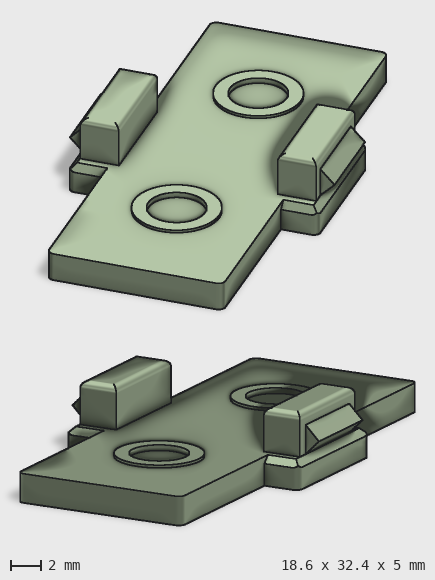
import cadquery as cq

plate_length = 32.4
plate_width = 12.38
plate_thickness = 2.0
edge_size = 0.5

wing_span = 17.6
wing_length = 9.65

total_height = 5.0
total_width = 18.6
block_span = 16.6
block_width = 2.72
block_length = 7.55
ridge_length = 6.0
ridge_reach = (total_width - block_span) / 2

ring_diameter = 6.0
recess_diameter = 4.0
ring_height = 0.2
recess_depth = 0.4
ring_offset = 8.0


def rounded_slab(width, length):
    slab = cq.Workplane("XY").box(width, length, plate_thickness, centered=(True, True, False))
    return slab.edges("|Z").fillet(edge_size)


def make_wings():
    beveled = cq.Workplane("XY").box(wing_span, wing_length, plate_thickness, centered=(True, True, False))
    beveled = beveled.faces(">Z").edges().chamfer(edge_size)
    return beveled.intersect(rounded_slab(wing_span, wing_length))


def make_snap_block():
    """Block at the +X side, with a 45 degree ridge starting at the plate's top."""
    outer_x = block_span / 2
    block = (
        cq.Workplane("XY")
        .box(block_width, block_length, total_height, centered=(True, True, False))
        .faces(">Z").edges().fillet(edge_size)
        .translate((outer_x - block_width / 2, 0, 0))
    )
    inner_x = outer_x - ridge_reach
    ridge_top = plate_thickness + 2 * ridge_reach
    ridge = (
        cq.Workplane("XZ")
        .moveTo(inner_x, plate_thickness)
        .lineTo(outer_x, plate_thickness)
        .lineTo(outer_x + ridge_reach, plate_thickness + ridge_reach)
        .lineTo(outer_x, ridge_top)
        .lineTo(inner_x, ridge_top)
        .close()
        .extrude(ridge_length / 2, both=True)
    )
    return block.union(ridge)


def add_ring(body, y):
    ring_top = plate_thickness + ring_height
    ring = cq.Workplane("XY").center(0, y).circle(ring_diameter / 2).extrude(ring_top)
    recess = (
        cq.Workplane("XY", origin=(0, y, ring_top))
        .circle(recess_diameter / 2)
        .extrude(-recess_depth)
    )
    return body.union(ring).cut(recess)


snap_block = make_snap_block()
result = rounded_slab(plate_width, plate_length).union(make_wings())
result = result.union(snap_block).union(snap_block.mirror("YZ"))
for side in (-1, 1):
    result = add_ring(result, side * ring_offset)